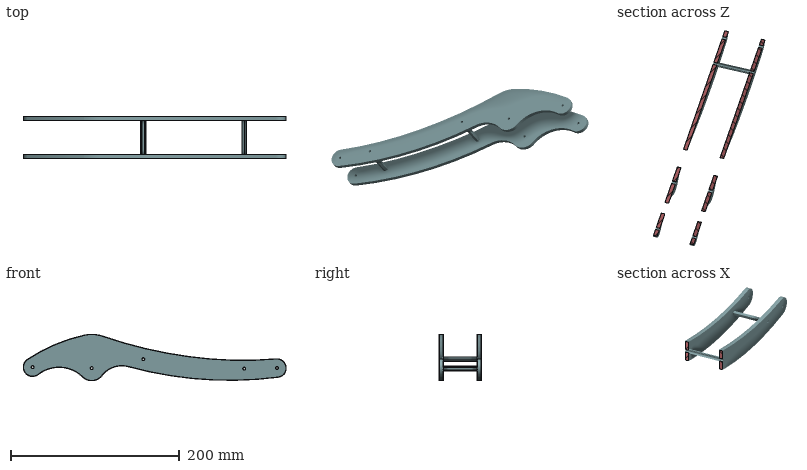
import cadquery as cq
import math


plate_thickness = 5.0
plate_gap = 40.0
overall_width = plate_gap + 2 * plate_thickness
hole_diameter = 3.0

rear_pivot = (0.0, 0.0)
middle_pivot = (70.0, -1.1)
front_pivot = (289.19, -1.1)
rear_standoff_centre = (131.0, 9.5)
front_standoff_centre = (250.5, -1.7)

end_radius = 11.0
crown_radius = 40.0
belly_radius = 15.0
back_radius = 200.0
front_sweep_radius = 457.0
lower_sweep_radius = 450.0
scoop_radius = 30.0
notch_radius = 40.0
front_sweep_centre_x = 248.9
lower_sweep_centre_x = 233.2
upper_joint_x = 211.0

hex_across_flats = 5.2
hex_across_corners = hex_across_flats / math.cos(math.radians(30))
rear_standoff_turn = 1.2
front_standoff_turn = 27.0


def tangent_centre(centre_a, distance_a, centre_b, distance_b, side):
    """Point at the given distances from two centres; side is +1 left or -1 right of a->b."""
    dx = centre_b[0] - centre_a[0]
    dz = centre_b[1] - centre_a[1]
    span = math.hypot(dx, dz)
    along = (distance_a**2 - distance_b**2 + span**2) / (2 * span)
    across = side * math.sqrt(distance_a**2 - along**2)
    return (
        centre_a[0] + (along * dx - across * dz) / span,
        centre_a[1] + (along * dz + across * dx) / span,
    )


def point_towards(centre, target, distance):
    """Point at a signed distance from centre, measured towards target."""
    dx = target[0] - centre[0]
    dz = target[1] - centre[1]
    scale = distance / math.hypot(dx, dz)
    return (centre[0] + scale * dx, centre[1] + scale * dz)


def arc_middle(centre, radius, start, end):
    """Middle point of the minor arc from start to end."""
    chord_middle = ((start[0] + end[0]) / 2, (start[1] + end[1]) / 2)
    return point_towards(centre, chord_middle, radius)


def sweep_centre(centre_x, reach):
    """Point at centre_x, above the front pivot and at the given reach from it."""
    return (centre_x, front_pivot[1] + math.sqrt(reach**2 - (centre_x - front_pivot[0])**2))


def radius_off_crown(joint, target):
    """Radius of the arc through joint, centred on the line joint->target, that touches the crown."""
    dx = joint[0] - middle_pivot[0]
    dz = joint[1] - middle_pivot[1]
    unit_x, unit_z = point_towards((0, 0), (target[0] - joint[0], target[1] - joint[1]), 1)
    return (dx**2 + dz**2 - crown_radius**2) / (2 * (crown_radius - unit_x * dx - unit_z * dz))


def plate_outline(start_y):
    """Closed chain of ten tangent arcs, clockwise from the rear end, in the plane Y = start_y."""
    back = tangent_centre(
        rear_pivot, back_radius - end_radius, middle_pivot, back_radius - crown_radius, -1)
    front_sweep = sweep_centre(front_sweep_centre_x, front_sweep_radius + end_radius)
    lower_sweep = sweep_centre(lower_sweep_centre_x, lower_sweep_radius - end_radius)
    joint_offset = upper_joint_x - front_sweep_centre_x
    upper_joint = (
        upper_joint_x, front_sweep[1] - math.sqrt(front_sweep_radius**2 - joint_offset**2))
    upper_sweep_radius = radius_off_crown(upper_joint, front_sweep)
    upper_sweep = point_towards(upper_joint, front_sweep, upper_sweep_radius)
    scoop = tangent_centre(
        middle_pivot, belly_radius + scoop_radius,
        lower_sweep, lower_sweep_radius + scoop_radius, -1)
    notch = tangent_centre(
        rear_pivot, end_radius + notch_radius, middle_pivot, belly_radius + notch_radius, -1)

    rear_top = point_towards(rear_pivot, back, -end_radius)
    crown_rear = point_towards(middle_pivot, back, -crown_radius)
    crown_front = point_towards(middle_pivot, upper_sweep, crown_radius)
    front_top = point_towards(front_pivot, front_sweep, end_radius)
    front_bottom = point_towards(front_pivot, lower_sweep, -end_radius)
    scoop_front = point_towards(scoop, lower_sweep, scoop_radius)
    belly_front = point_towards(middle_pivot, scoop, belly_radius)
    belly_rear = point_towards(middle_pivot, notch, belly_radius)
    rear_bottom = point_towards(rear_pivot, notch, end_radius)

    rear_tip = point_towards(rear_pivot, middle_pivot, -end_radius)
    front_tip = (front_pivot[0] + end_radius, front_pivot[1])

    return (
        cq.Workplane("XZ", origin=(0, start_y, 0))
        .moveTo(*rear_top)
        .threePointArc(arc_middle(back, back_radius, rear_top, crown_rear), crown_rear)
        .threePointArc(arc_middle(middle_pivot, crown_radius, crown_rear, crown_front), crown_front)
        .threePointArc(
            arc_middle(upper_sweep, upper_sweep_radius, crown_front, upper_joint), upper_joint)
        .threePointArc(arc_middle(front_sweep, front_sweep_radius, upper_joint, front_top), front_top)
        .threePointArc(front_tip, front_bottom)
        .threePointArc(
            arc_middle(lower_sweep, lower_sweep_radius, front_bottom, scoop_front), scoop_front)
        .threePointArc(arc_middle(scoop, scoop_radius, scoop_front, belly_front), belly_front)
        .threePointArc(arc_middle(middle_pivot, belly_radius, belly_front, belly_rear), belly_rear)
        .threePointArc(arc_middle(notch, notch_radius, belly_rear, rear_bottom), rear_bottom)
        .threePointArc(rear_tip, rear_top)
        .close()
    )


def make_arm_plate(start_y):
    """Arm plate filling one plate thickness towards -Y from start_y."""
    hole_centres = [
        rear_pivot, middle_pivot, rear_standoff_centre, front_standoff_centre, front_pivot]
    holes = (
        cq.Workplane("XZ", origin=(0, start_y, 0))
        .pushPoints(hole_centres)
        .circle(hole_diameter / 2)
        .extrude(plate_thickness)
    )
    return plate_outline(start_y).extrude(plate_thickness).cut(holes)


def make_standoff(centre, turn):
    """Hex standoff with a through bore, spanning the gap between the plates."""
    return (
        cq.Workplane("XZ", origin=(centre[0], plate_gap / 2, centre[1]))
        .transformed(rotate=(0, 0, turn))
        .polygon(6, hex_across_corners)
        .circle(hole_diameter / 2)
        .extrude(plate_gap)
    )


arm_plates = [
    make_arm_plate(start_y) for start_y in (overall_width / 2, -plate_gap / 2)]

standoffs = [
    make_standoff(centre, turn)
    for centre, turn in (
        (rear_standoff_centre, rear_standoff_turn),
        (front_standoff_centre, front_standoff_turn),
    )
]

result = cq.Compound.makeCompound([body.val() for body in arm_plates + standoffs])